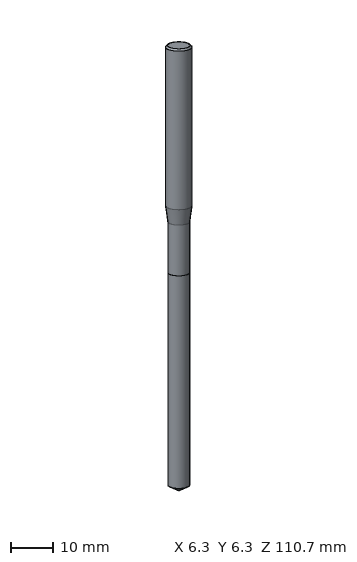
import cadquery as cq

total_length = 110.7
shank_diameter = 6.3
drill_diameter = 5.2
shank_length = 39.9
taper_length = 4.0
neck_length = 12.6
point_height = 1.4
shank_chamfer = 0.4

shank_radius = shank_diameter / 2
drill_radius = drill_diameter / 2
shank_bottom = total_length - shank_length
neck_top = shank_bottom - taper_length
joint_height = neck_top - neck_length


def turned_body(profile):
    """Revolve a closed (radius, height) profile a full turn about the Z axis."""
    half_section = cq.Workplane("XZ").polyline(profile).close()
    return half_section.revolve(360, (0, 0), (0, 1))


def make_holder():
    """Chamfered cylindrical shank, tapering down to a neck of the drill diameter."""
    profile = [
        (0, joint_height),
        (drill_radius, joint_height),
        (drill_radius, neck_top),
        (shank_radius, shank_bottom),
        (shank_radius, total_length - shank_chamfer),
        (shank_radius - shank_chamfer, total_length),
        (0, total_length),
    ]
    return turned_body(profile)


def make_cutter():
    """Plain cutting rod with a conical point, butted against the neck."""
    profile = [
        (0, 0),
        (drill_radius, point_height),
        (drill_radius, joint_height),
        (0, joint_height),
    ]
    return turned_body(profile)


holder = make_holder()
cutter = make_cutter()

result = cq.Compound.makeCompound([holder.val(), cutter.val()])